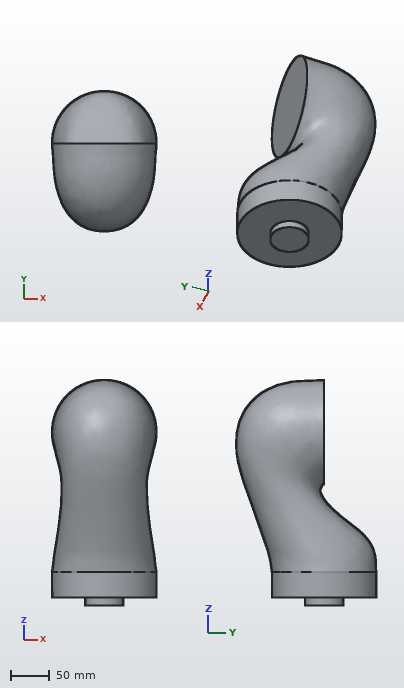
import cadquery as cq
import math

ring_radius = 68.0
ring_height = 33.0
spigot_radius = 25.0
spigot_height = 10.49

face_center_height = 215.0
face_radius = ring_radius

ellipse_fullness = 2.0
points_per_half = 12

ring_end = (
    (ring_radius, ring_height),
    (-ring_radius, ring_height),
    0.5,
    ring_radius,
    ellipse_fullness,
)
face_end = (
    (0, face_center_height - face_radius),
    (0, face_center_height + face_radius),
    0.5,
    face_radius,
    ellipse_fullness,
)

ovals = [
    ring_end,
    ((67.1, 48.6), (-73.3, 60.9), 0.525, 65.2, ellipse_fullness),
    ((64.0, 62.7), (-79.9, 81.2), 0.564, 62.4, ellipse_fullness),
    ((49.0, 83.9), (-92.3, 115.7), 0.583, 58.2, ellipse_fullness),
    ((22.5, 105.1), (-106.4, 155.4), 0.548, 55.8, 2.05),
    ((0.9, 126.3), (-114.58, 200.5), 0.492, 56.7, 2.12),
    ((-4.2, 136.0), (-108.2, 234.0), 0.475, 60.6, 2.1),
    ((-4.4, 141.3), (-76.4, 269.3), 0.482, 65.2, 2.05),
    ((-2.8, 144.8), (-39.3, 281.0), 0.491, 66.5, ellipse_fullness),
    face_end,
]


def oval_wire(inner, outer, widest_share, half_width, outer_fullness):
    """Closed smooth oval, symmetric about X = 0, with an inner and an outer half."""
    points = []
    for i in range(2 * points_per_half):
        angle = math.pi * i / points_per_half
        on_outer_half = math.cos(angle) < 0
        fullness = outer_fullness if on_outer_half else ellipse_fullness
        across = math.copysign(abs(math.sin(angle)) ** (2 / fullness), math.sin(angle))
        away = abs(math.cos(angle)) ** (2 / fullness)
        if on_outer_half:
            share = widest_share + (1 - widest_share) * away
        else:
            share = widest_share - widest_share * away
        y = inner[0] + share * (outer[0] - inner[0])
        z = inner[1] + share * (outer[1] - inner[1])
        points.append(cq.Vector(half_width * across, y, z))
    spacing = list(range(len(points) + 1))
    edge = cq.Edge.makeSpline(points, periodic=True, parameters=spacing)
    return cq.Wire.assembleEdges([edge])


def make_elbow():
    return cq.Workplane(cq.Solid.makeLoft([oval_wire(*oval) for oval in ovals]))


def make_base():
    ring = cq.Workplane("XY").circle(ring_radius).extrude(ring_height)
    spigot = cq.Workplane("XY").circle(spigot_radius).extrude(-spigot_height)
    return ring.union(spigot)


result = make_elbow().union(make_base())